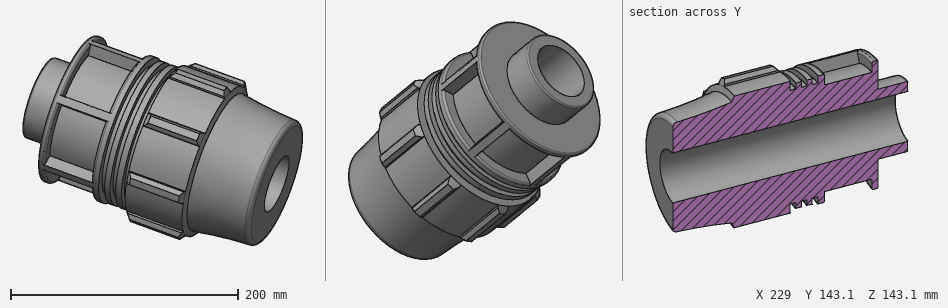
import cadquery as cq
import math

TOTAL_LENGTH = 229.0
BORE_RADIUS = 26.3

SPIGOT_RADIUS = 37.5
SPIGOT_ROUND = 1.4

BODY_START = 29.0
BODY_END = 87.7
FLANGE_RADIUS = 136.7 / 2
CORE_START = 35.3
CORE_END = 80.8
CORE_RADIUS = 57.0
FLANGE_OUTER_ROUND = 1.5
FLANGE_INNER_ROUND = 2.0
BODY_RIB_COUNT = 6
BODY_RIB_WIDTH = 7.5

NECK_RADIUS = 121.5 / 2
RING_RADIUS = 134.0 / 2
RING_SPANS = [(93.0, 98.2), (103.5, 109.2)]

COLLAR_START = 114.3
COLLAR_END = 169.2
COLLAR_RADIUS = 140.8 / 2
GRIP_COUNT = 8
GRIP_RADIUS = 76.0
GRIP_SHOULDER_RADIUS = 72.0
GRIP_BASE_HALF_WIDTH = 12.5 / 2
GRIP_TOP_HALF_WIDTH = 6.9 / 2
GRIP_TOP_START = 119.0
GRIP_TOP_END = 166.3

TAPER_START = 171.5
TAPER_END_RADIUS = 58.6
TAPER_START_RADIUS = 64.5
TAPER_SAG = 1.0
END_ROUND = 4.4


def disc(start, end, radius):
    """Solid cylinder along X."""
    return cq.Workplane("YZ", origin=(start, 0, 0)).circle(radius).extrude(end - start)


def spin(profile):
    """Revolve a closed profile of (X, radius) points about the X axis."""
    return profile.close().revolve(360, (0, 0, 0), (1, 0, 0))


def make_spigot():
    return disc(0, BODY_START, SPIGOT_RADIUS).faces("<X").edges().fillet(SPIGOT_ROUND)


def make_body():
    core = disc(BODY_START, BODY_END, CORE_RADIUS)
    front_flange = (
        disc(BODY_START, CORE_START, FLANGE_RADIUS)
        .faces("<X")
        .edges()
        .fillet(FLANGE_OUTER_ROUND)
        .faces(">X")
        .edges()
        .fillet(FLANGE_INNER_ROUND)
    )
    rear_flange = disc(CORE_END, BODY_END, FLANGE_RADIUS).faces("<X").edges().fillet(FLANGE_INNER_ROUND)
    body = core.union(front_flange).union(rear_flange)

    rib_start = CORE_START - FLANGE_INNER_ROUND
    rib_end = CORE_END + FLANGE_INNER_ROUND
    rib_envelope = disc(rib_start, rib_end, FLANGE_RADIUS)
    for index in range(BODY_RIB_COUNT // 2):
        bar = (
            cq.Workplane("XY")
            .box(rib_end - rib_start, 2 * FLANGE_RADIUS, BODY_RIB_WIDTH)
            .translate(((rib_start + rib_end) / 2, 0, 0))
            .rotate((0, 0, 0), (1, 0, 0), index * 360 / BODY_RIB_COUNT)
        )
        body = body.union(bar.intersect(rib_envelope))
    return body


def make_neck():
    neck = disc(BODY_END, COLLAR_START, NECK_RADIUS)
    for start, end in RING_SPANS:
        neck = neck.union(disc(start, end, RING_RADIUS))
    return neck


def make_nut_shell():
    """Collar, its bevelled shoulder and the concave tapered end."""
    taper_end = TOTAL_LENGTH - END_ROUND
    taper_middle = (TAPER_START + taper_end) / 2
    taper_middle_radius = (TAPER_START_RADIUS + TAPER_END_RADIUS) / 2 - TAPER_SAG
    end_face_radius = TAPER_END_RADIUS - END_ROUND
    arc_offset = END_ROUND * math.sqrt(0.5)
    profile = (
        cq.Workplane("XY")
        .moveTo(COLLAR_START, 0)
        .lineTo(COLLAR_START, COLLAR_RADIUS)
        .lineTo(COLLAR_END, COLLAR_RADIUS)
        .lineTo(TAPER_START, TAPER_START_RADIUS)
        .threePointArc((taper_middle, taper_middle_radius), (taper_end, TAPER_END_RADIUS))
        .threePointArc(
            (taper_end + arc_offset, end_face_radius + arc_offset),
            (TOTAL_LENGTH, end_face_radius),
        )
        .lineTo(TOTAL_LENGTH, 0)
    )
    return spin(profile)


def make_grip():
    """One grip rib pointing along +Y, with bevelled flanks and sloping ends."""
    inside_radius = NECK_RADIUS
    corner_radius = math.hypot(GRIP_RADIUS, GRIP_TOP_HALF_WIDTH)
    bar = (
        cq.Workplane("YZ", origin=(COLLAR_START, 0, 0))
        .moveTo(inside_radius, -GRIP_BASE_HALF_WIDTH)
        .lineTo(GRIP_SHOULDER_RADIUS, -GRIP_BASE_HALF_WIDTH)
        .lineTo(GRIP_RADIUS, -GRIP_TOP_HALF_WIDTH)
        .lineTo(GRIP_RADIUS, GRIP_TOP_HALF_WIDTH)
        .lineTo(GRIP_SHOULDER_RADIUS, GRIP_BASE_HALF_WIDTH)
        .lineTo(inside_radius, GRIP_BASE_HALF_WIDTH)
        .close()
        .extrude(COLLAR_END - COLLAR_START)
    )
    end_slopes = spin(
        cq.Workplane("XY")
        .moveTo(COLLAR_START, 0)
        .lineTo(COLLAR_START, COLLAR_RADIUS)
        .lineTo(GRIP_TOP_START, corner_radius)
        .lineTo(GRIP_TOP_END, corner_radius)
        .lineTo(COLLAR_END, COLLAR_RADIUS)
        .lineTo(COLLAR_END, 0)
    )
    return bar.intersect(end_slopes)


def make_nut():
    nut = make_nut_shell()
    grip = make_grip()
    pitch = 360 / GRIP_COUNT
    for index in range(GRIP_COUNT):
        nut = nut.union(grip.rotate((0, 0, 0), (1, 0, 0), (index + 0.5) * pitch))
    return nut


coupling = make_spigot().union(make_body()).union(make_neck()).union(make_nut())
result = coupling.cut(disc(0, TOTAL_LENGTH, BORE_RADIUS))